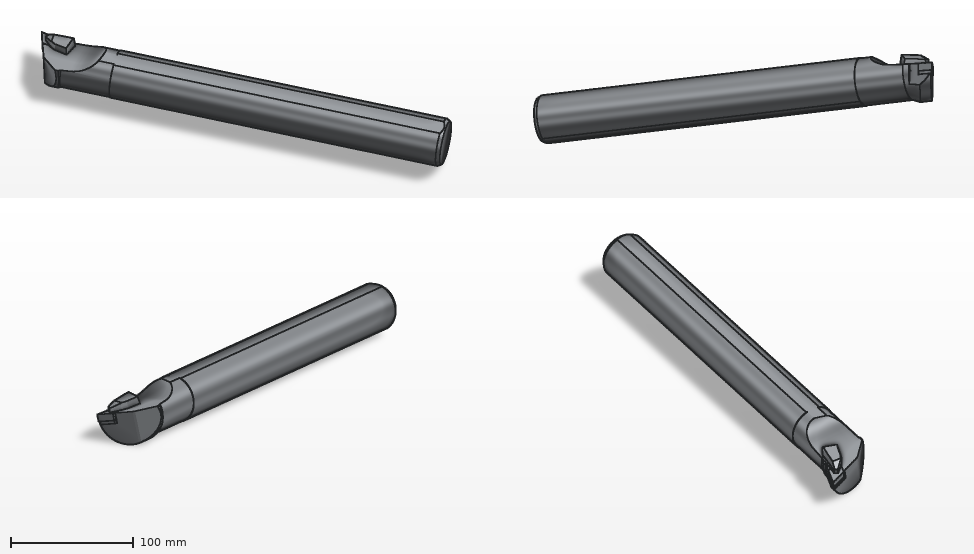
import cadquery as cq
import math

LENGTH = 350.0
SHANK_RADIUS = 20.0
FLAT_HEIGHT = 19.0
NECK_RADIUS = 19.5
NECK_END = 70.0
END_CHAMFER_LENGTH = 3.0
END_CHAMFER_DEPTH = 1.8

HEAD_RADIUS = 23.0
HEAD_OFFSET = 3.0
CONE_END = 28.0
CONE_SLOPE = 0.39

TIP_Y = 27.0
TIP_Z = 0.5
LEAN_X = -0.09
LEAN_Y = 0.18
NOSE_ANGLE = 55.0
FRONT_EDGE_ANGLE = 72.5
REAR_EDGE_ANGLE = FRONT_EDGE_ANGLE - NOSE_ANGLE

INSERT_SIDE = 14.0
INSERT_THICKNESS = 6.3
SHIM_THICKNESS = 2.8
SHIM_INSET = 0.5
POCKET_DEPTH = INSERT_THICKNESS + SHIM_THICKNESS
RELIEF_DIAMETER = 4.0

FACE_SETBACK = 0.52
FACE_LENGTH = 32.2
SIDE_FACE_ANGLE = 46.0
EDGE_CHAMFER = 1.0
REAR_FACE_LENGTH = 22.8

GULLET_FLOOR_END = 38.5
GULLET_RADIUS = 32.2
GULLET_ARC_ANGLE = 60.0
GULLET_SKEW = 6.0

CLAMP_BASE = [(6.0, 18.0), (7.7, 20.5), (27.0, 19.2), (32.0, 16.0), (28.0, 3.0), (16.8, 7.0), (12.2, 10.0)]
CLAMP_NOSE = (6.5, 6.3)
CLAMP_BREAK = (12.5, 10.5)
CLAMP_BACK = (31.5, 14.0)
CLAMP_BLOCK_HEIGHT = 14.0
CLAMP_TAPER = 5.0
CLAMP_SWING_RADIUS = 21.7

REACH = 105.0

cutting_plane = cq.Plane(origin=(0, TIP_Y, TIP_Z), xDir=(1, 0, -LEAN_X), normal=(LEAN_X, LEAN_Y, 1))


def polar(length, angle):
    """Vector in the cutting plane, at an angle in degrees turned from +X towards -Y."""
    turn = math.radians(angle)
    return (length * math.cos(turn), -length * math.sin(turn))


def add(a, b):
    return (a[0] + b[0], a[1] + b[1])


def make_shank():
    shank = cq.Workplane("YZ").workplane(offset=NECK_END).circle(SHANK_RADIUS).extrude(LENGTH - NECK_END)
    shank = shank.faces(">X").chamfer(END_CHAMFER_LENGTH, END_CHAMFER_DEPTH)
    between_flats = cq.Workplane("XY").box(2 * LENGTH, REACH, 2 * FLAT_HEIGHT)
    return shank.intersect(between_flats)


def make_neck():
    """Round neck with a flat on top only."""
    neck = cq.Workplane("YZ").circle(NECK_RADIUS).extrude(NECK_END)
    below_flat = cq.Workplane("XY").workplane(offset=FLAT_HEIGHT).rect(REACH * 2, REACH).extrude(-REACH)
    return neck.intersect(below_flat)


def make_head():
    head = cq.Workplane("YZ").center(HEAD_OFFSET, 0).circle(HEAD_RADIUS).extrude(CONE_END)
    cone_front_radius = NECK_RADIUS + CONE_SLOPE * CONE_END
    cone = (
        cq.Workplane("XZ")
        .polyline([(0, 0), (0, cone_front_radius), (CONE_END, NECK_RADIUS), (CONE_END, 0)])
        .close()
        .revolve(360, (0, 0, 0), (1, 0, 0))
    )
    return head.intersect(cone)


def cut_through(points):
    """Prism square to the cutting plane that passes through the whole bar."""
    return cq.Workplane(cutting_plane).polyline(points).close().extrude(REACH, both=True)


def make_front_waste():
    """Material in front of the front face, the edge chamfer and the side face."""
    start = (FACE_SETBACK / math.sin(math.radians(FRONT_EDGE_ANGLE)), 0)
    corner = add(start, polar(FACE_LENGTH, FRONT_EDGE_ANGLE))
    chamfer_start = add(corner, polar(-EDGE_CHAMFER, FRONT_EDGE_ANGLE))
    chamfer_end = add(corner, polar(EDGE_CHAMFER, SIDE_FACE_ANGLE))
    first = add(start, polar(-REACH, FRONT_EDGE_ANGLE))
    last = add(corner, polar(REACH, SIDE_FACE_ANGLE))
    return cut_through([first, chamfer_start, chamfer_end, last, (-REACH, last[1]), (-REACH, first[1])])


def make_rear_waste():
    """Material behind the rear cutting edge."""
    end = polar(REAR_FACE_LENGTH, REAR_EDGE_ANGLE)
    return cut_through([(0, 0), end, (end[0], REACH), (0, REACH)])


def gullet_arc_point(angle):
    turn = math.radians(angle)
    return (
        GULLET_FLOOR_END + GULLET_RADIUS * math.sin(turn),
        GULLET_RADIUS * (1 - math.cos(turn)),
    )


def make_gullet():
    arc_end = gullet_arc_point(GULLET_ARC_ANGLE)
    profile = (
        cq.Workplane("XZ")
        .moveTo(-REACH, 0)
        .lineTo(GULLET_FLOOR_END, 0)
        .threePointArc(gullet_arc_point(GULLET_ARC_ANGLE / 2), arc_end)
        .lineTo(arc_end[0], REACH)
        .lineTo(-REACH, REACH)
        .close()
    )
    pivot = (GULLET_FLOOR_END, -TIP_Y, 0)
    pivot_top = (GULLET_FLOOR_END, -TIP_Y, 1)
    skewed = profile.extrude(REACH, both=True).rotate(pivot, pivot_top, -GULLET_SKEW)
    return cq.Workplane(skewed.val().moved(cutting_plane.location))


def rhombus():
    """Insert outline with one corner at the tip."""
    front = polar(INSERT_SIDE, FRONT_EDGE_ANGLE)
    rear = polar(INSERT_SIDE, REAR_EDGE_ANGLE)
    return cq.Workplane(cutting_plane).polyline([(0, 0), front, add(front, rear), rear]).close()


def make_pocket():
    blunt_corner = polar(INSERT_SIDE, FRONT_EDGE_ANGLE)
    relief = cq.Workplane(cutting_plane).center(*blunt_corner).circle(RELIEF_DIAMETER / 2)
    return rhombus().extrude(-POCKET_DEPTH).union(relief.extrude(-POCKET_DEPTH))


def make_shim():
    shim = rhombus().offset2D(-SHIM_INSET).extrude(-SHIM_THICKNESS)
    return shim.translate(cutting_plane.zDir * -INSERT_THICKNESS)


def make_clamp():
    base = [(x, y - TIP_Y) for x, y in CLAMP_BASE]
    block = cq.Workplane(cutting_plane).polyline(base).close().extrude(CLAMP_BLOCK_HEIGHT, taper=CLAMP_TAPER)
    under_top = (
        cq.Workplane("XZ")
        .moveTo(0, -REACH)
        .lineTo(0, CLAMP_NOSE[1])
        .lineTo(*CLAMP_NOSE)
        .lineTo(*CLAMP_BREAK)
        .lineTo(*CLAMP_BACK)
        .lineTo(REACH, CLAMP_BACK[1])
        .lineTo(REACH, -REACH)
        .close()
        .extrude(REACH, both=True)
    )
    swing = cq.Workplane("YZ").circle(CLAMP_SWING_RADIUS).extrude(REACH)
    return block.intersect(under_top).intersect(swing)


def make_bar():
    head = make_head().cut(make_rear_waste())
    bar = make_shank().union(make_neck()).union(head)
    bar = bar.cut(make_front_waste()).cut(make_gullet()).cut(make_pocket())
    return bar.union(make_shim()).union(make_clamp())


def make_insert():
    return rhombus().extrude(-INSERT_THICKNESS)


bar = make_bar()
insert = make_insert()
result = cq.Compound.makeCompound([bar.val(), insert.val()])